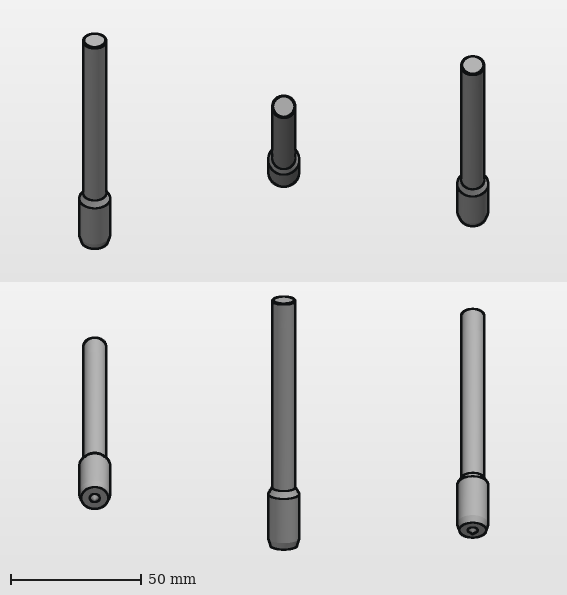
import cadquery as cq

TOTAL_LENGTH = 101.9
HEAD_RADIUS = 6.0
SHANK_RADIUS = 4.5

TIP_HEIGHT = 1.9
TIP_RADIUS = TIP_HEIGHT

NOSE_RADIUS = 5.2
NOSE_LENGTH = 2.9
HEAD_LENGTH = 18.1
SHOULDER_LENGTH = 2.6

END_SECTION_LENGTH = 10.0
END_CHAMFER = 0.4

nose_top = TIP_HEIGHT + NOSE_LENGTH
head_top = nose_top + HEAD_LENGTH
shoulder_top = head_top + SHOULDER_LENGTH
end_section_start = TOTAL_LENGTH - END_SECTION_LENGTH


def revolve_about_z(profile_points):
    """Turn a closed (radius, height) outline about the Z axis, keeping every face boundary."""
    profile = cq.Workplane("XZ").polyline(profile_points).close()
    return profile.revolve(360, (0, 0, 0), (0, 1, 0), clean=False)


def make_holder():
    """Shank and larger head in one turned piece."""
    return revolve_about_z([
        (0, TIP_HEIGHT),
        (NOSE_RADIUS, TIP_HEIGHT),
        (HEAD_RADIUS, nose_top),
        (HEAD_RADIUS, head_top),
        (SHANK_RADIUS, shoulder_top),
        (SHANK_RADIUS, end_section_start),
        (SHANK_RADIUS, TOTAL_LENGTH - END_CHAMFER),
        (SHANK_RADIUS - END_CHAMFER, TOTAL_LENGTH),
        (0, TOTAL_LENGTH),
    ])


def make_tip():
    """Pointed cone seated against the flat nose of the holder."""
    return revolve_about_z([
        (0, 0),
        (TIP_RADIUS, TIP_HEIGHT),
        (0, TIP_HEIGHT),
    ])


holder = make_holder()
tip = make_tip()

result = cq.Compound.makeCompound([holder.val(), tip.val()])